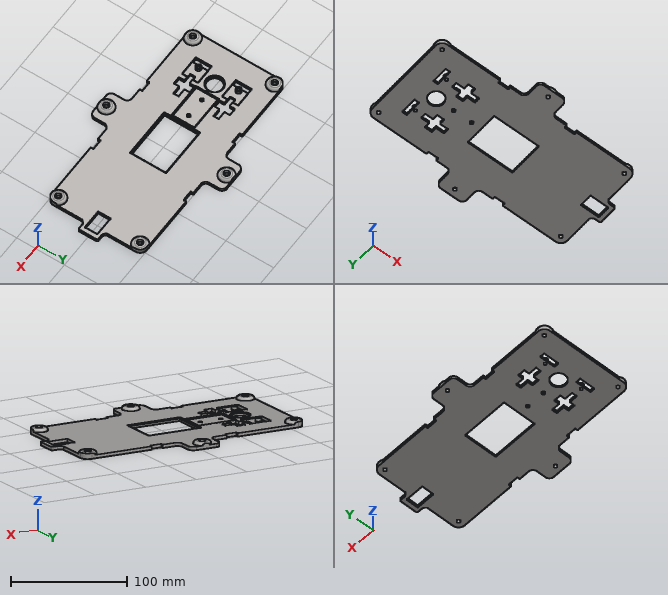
import cadquery as cq
import math

plate_length = 218.0
plate_width = 99.9
plate_thickness = 3.2
overall_length = 228.0
overall_width = 140.0
corner_radius = 7.0

ear_length = 30.0
ear_radius = 5.0

notch_length = 11.0
notch_depth = 2.7
notch_spacing = 74.0

tab_width = 20.0
tab_outer_radius = 1.1
tab_root_radius = 5.0
tab_root_length = 4.5
tab_opening_length = 20.0
tab_opening_width = 13.0
tab_opening_end_wall = 4.8

boss_diameter = 16.0
boss_height = 6.0
boss_edge_radius = 3.0
boss_hole_diameter = 3.5
countersink_diameter = 6.0

bevel = 1.0

window_length = 50.0
window_width = 35.8
window_x = 2.0

tray_length = 37.2
tray_width = 24.2
tray_x = -43.5
tray_hole_diameter = 3.5
tray_hole_spacing = 20.0

round_hole_diameter = 16.0
round_hole_x = -73.0

station_y = 21.0
station_width = 16.6
recess_length = 20.7
recess_depth = 1.0
recess_x = -76.4
slot_length = 5.0
pin_diameter = 5.5
pin_hole_diameter = 2.7
pin_countersink_diameter = 4.0
pin_top = 5.0
pin_x = -79.0
cross_x = -57.5
cross_length = 25.5
cross_arm_width = 5.5
cross_bar_length = 7.8

plate_end_x = plate_length / 2
tab_end_x = overall_length - plate_end_x


def block(length, width, bottom, top, x=0.0, y=0.0):
    """Rectangular block centred on (x, y) between two heights."""
    return (
        cq.Workplane("XY", origin=(x, y, bottom))
        .rect(length, width)
        .extrude(top - bottom)
    )


def through_block(length, width, x=0.0, y=0.0):
    return block(length, width, 0, plate_thickness, x, y)


def cylinder(diameter, bottom, top, x, y):
    return (
        cq.Workplane("XY", origin=(x, y, bottom))
        .circle(diameter / 2)
        .extrude(top - bottom)
    )


def end_tab(height):
    """Tab with small outer corners and flared roots that meet the plate end at an angle."""
    half_width = tab_width / 2
    root_x = plate_end_x + tab_root_length
    root_rise = tab_root_radius - math.sqrt(tab_root_radius**2 - tab_root_length**2)
    root_y = half_width + root_rise
    inner_x = plate_end_x - corner_radius
    tab = (
        cq.Workplane("XY")
        .moveTo(inner_x, root_y)
        .lineTo(plate_end_x, root_y)
        .radiusArc((root_x, half_width), -tab_root_radius)
        .lineTo(tab_end_x, half_width)
        .lineTo(tab_end_x, -half_width)
        .lineTo(root_x, -half_width)
        .radiusArc((plate_end_x, -root_y), -tab_root_radius)
        .lineTo(inner_x, -root_y)
        .close()
        .extrude(height)
    )
    return tab.edges("|Z and >X").fillet(tab_outer_radius)


def outline_prism(height):
    """Outer outline of plate, ears and end tab, without any openings."""
    plate = block(plate_length, plate_width, 0, height).edges("|Z").fillet(corner_radius)
    ears = block(ear_length, overall_width, 0, height).edges("|Z").fillet(ear_radius)
    ear_roots = cq.selectors.BoxSelector(
        (-ear_length, -plate_width / 2 - ear_radius, 0),
        (ear_length, plate_width / 2 + ear_radius, height),
    )
    prism = plate.union(ears).edges("|Z").edges(ear_roots).fillet(ear_radius)
    for side in (-1, 1):
        notch_y = side * (plate_width - notch_depth) / 2
        for notch_x in (-notch_spacing / 2, notch_spacing / 2):
            prism = prism.cut(block(notch_length, notch_depth, 0, height, notch_x, notch_y))
    return prism.union(end_tab(height))


def boss_positions():
    """Boss centres: concentric with the plate corners, and equally inset on the ears."""
    corner_x = plate_end_x - corner_radius
    corner_y = plate_width / 2 - corner_radius
    ear_y = overall_width / 2 - corner_radius
    upper = [(-corner_x, corner_y), (0, ear_y), (corner_x, corner_y)]
    return upper + [(x, -y) for x, y in upper]


def boss(x, y):
    """Round boss with a rounded top edge, trimmed where it would overhang the outline."""
    dome = cylinder(boss_diameter, 0, boss_height, x, y).faces(">Z").edges().fillet(boss_edge_radius)
    return dome.intersect(outline_prism(boss_height))


def sunk_rectangle(length, width, x):
    """Rectangle at the plate's top face, sinking by the bevel with 45 degree walls."""
    return (
        cq.Workplane("XY", origin=(x, 0, plate_thickness))
        .rect(length, width)
        .extrude(-bevel, taper=45)
    )


def sunk_cone(top_diameter, bottom_diameter, top, x, y):
    """45 degree cone that narrows downwards between two diameters."""
    depth = (top_diameter - bottom_diameter) / 2
    return (
        cq.Workplane("XY", origin=(x, y, top))
        .circle(top_diameter / 2)
        .extrude(-depth, taper=45)
    )


def countersunk_hole(hole_diameter, sink_diameter, top, x, y):
    """Hole from the underside up to a height, opening out in a cone at its upper end."""
    hole = cylinder(hole_diameter, 0, top, x, y)
    return hole.union(sunk_cone(sink_diameter, hole_diameter, top, x, y))


def window():
    opening = through_block(window_length, window_width, window_x)
    return opening.union(sunk_rectangle(window_length + 2 * bevel, window_width + 2 * bevel, window_x))


def tray():
    cutter = sunk_rectangle(tray_length, tray_width, tray_x)
    for side in (-1, 1):
        hole_x = tray_x + side * tray_hole_spacing / 2
        cutter = cutter.union(cylinder(tray_hole_diameter, 0, plate_thickness, hole_x, 0))
    return cutter


def round_hole():
    rim_diameter = round_hole_diameter + 2 * bevel
    return countersunk_hole(round_hole_diameter, rim_diameter, plate_thickness, round_hole_x, 0)


def tab_opening():
    opening_x = tab_end_x - tab_opening_end_wall - tab_opening_length / 2
    return through_block(tab_opening_length, tab_opening_width, opening_x)


def station_cutter(y):
    """Recess with a slot along its outer end, and the cross that overlaps its inner end."""
    floor = plate_thickness - recess_depth
    slot_x = recess_x - (recess_length - slot_length) / 2
    recess = block(recess_length, station_width, floor, plate_thickness, recess_x, y)
    slot = through_block(slot_length, station_width, slot_x, y)
    cross_arm = through_block(cross_length, cross_arm_width, cross_x, y)
    cross_bar = through_block(cross_bar_length, station_width, cross_x, y)
    return recess.union(slot).union(cross_arm).union(cross_bar)


result = outline_prism(plate_thickness)

for x, y in boss_positions():
    result = result.union(boss(x, y))
    result = result.cut(countersunk_hole(boss_hole_diameter, countersink_diameter, boss_height, x, y))

for cutter in (window(), tray(), round_hole(), tab_opening()):
    result = result.cut(cutter)

for y in (-station_y, station_y):
    result = result.cut(station_cutter(y))
    result = result.union(cylinder(pin_diameter, 0, pin_top, pin_x, y))
    result = result.cut(countersunk_hole(pin_hole_diameter, pin_countersink_diameter, pin_top, pin_x, y))